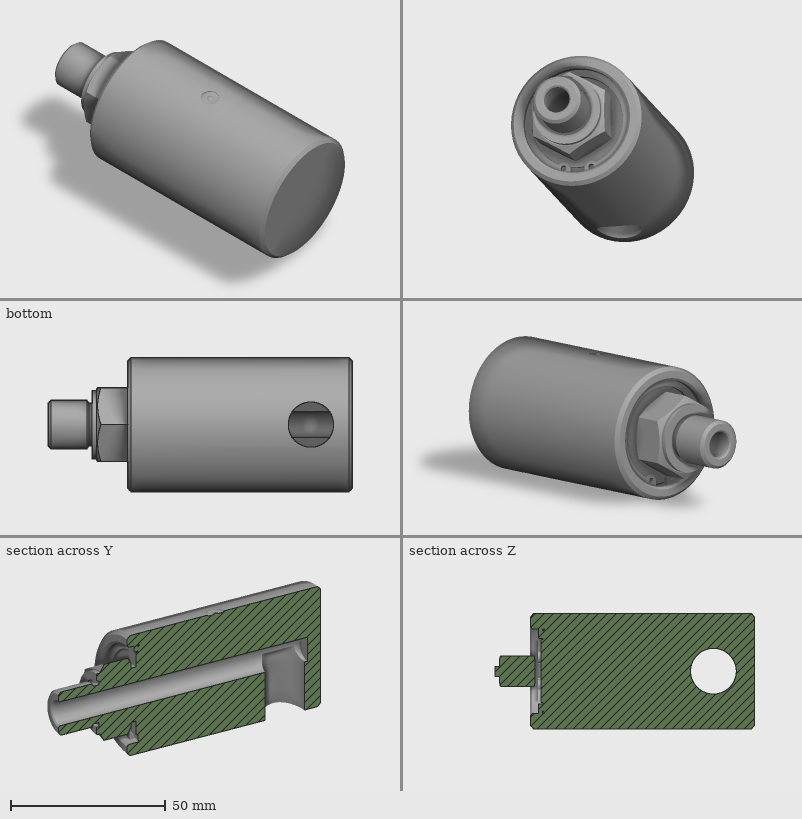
import cadquery as cq
import math

TOTAL_LENGTH = 98.79

HOUSING_DIAMETER = 43.7
HOUSING_START = 25.8
HOUSING_CHAMFER = 1.2

RECESS_DIAMETER = 35.08
RECESS_MOUTH_DIAMETER = 36.5
RECESS_DEPTH = 5.4
RECESS_FLOOR = HOUSING_START + RECESS_DEPTH

RING_INNER_DIAMETER = 30.5
RING_THICKNESS = 1.5
RING_SETBACK = 2.6
RING_FACE = HOUSING_START + RING_SETBACK
RING_GAP_WIDTH = 4.7
LUG_RADIUS = 2.0
LUG_HOLE_DIAMETER = 1.98
LUG_HOLE_Y = 4.62
LUG_HOLE_Z = -15.35

BEARING_FACE = RING_FACE + RING_THICKNESS
BEARING_CHAMFER = 0.6

SEAL_DIAMETER = 30.12
SEAL_SETBACK = 0.8
SEAL_FACE = RING_FACE + SEAL_SETBACK

THREAD_DIAMETER = 15.84
THREAD_LENGTH = 12.6
NECK_DIAMETER = 13.89
THREAD_CHAMFER = (THREAD_DIAMETER - NECK_DIAMETER) / 2
NECK_TAPER_LENGTH = 0.7

COLLAR_DIAMETER = 22.2
COLLAR_START = 14.3
COLLAR_GROOVE_DIAMETER = 16.5
COLLAR_GROOVE_DEPTH = 1.0

HEX_FLATS = 24.0
HEX_SIDES = 6
HEX_CORNERS = HEX_FLATS / math.cos(math.pi / HEX_SIDES)
HEX_START = 15.8
HEX_END = 27.5
HEX_FACE_DIAMETER = 23.0
HEX_CHAMFER_ANGLE = 30.0

SHAFT_NECK_DIAMETER = 19.84

BORE_DIAMETER = 8.5
BORE_CHAMFER = 0.5
PORT_DIAMETER = 14.69
PORT_X = 85.3
BORE_END_CLEARANCE = 1.0
BORE_END = PORT_X + PORT_DIAMETER / 2 + BORE_END_CLEARANCE

SPOT_X = 59.2
SPOT_DIAMETER = 6.0
SPOT_DEPTH = 0.4
SPOT_FLOOR = HOUSING_DIAMETER / 2 - SPOT_DEPTH
NUB_DIAMETER = 1.98


def rod(diameter, start, end):
    """Cylinder on the X axis between two stations."""
    return cq.Workplane("YZ", origin=(start, 0, 0)).circle(diameter / 2).extrude(end - start)


def turned(points):
    """Solid of revolution about the X axis from (x, radius) points."""
    return cq.Workplane("XY").polyline(points).close().revolve(360, (0, 0, 0), (1, 0, 0))


def make_housing():
    housing = rod(HOUSING_DIAMETER, HOUSING_START, TOTAL_LENGTH).edges().chamfer(HOUSING_CHAMFER)
    recess = rod(RECESS_DIAMETER, HOUSING_START, RECESS_FLOOR)
    mouth_chamfer = (RECESS_MOUTH_DIAMETER - RECESS_DIAMETER) / 2
    mouth = turned([
        (HOUSING_START, 0),
        (HOUSING_START, RECESS_MOUTH_DIAMETER / 2),
        (HOUSING_START + mouth_chamfer, RECESS_DIAMETER / 2),
        (HOUSING_START + mouth_chamfer, 0),
    ])
    return housing.cut(recess).cut(mouth)


def make_bearing():
    bearing = rod(RECESS_DIAMETER, BEARING_FACE, RECESS_FLOOR)
    return bearing.faces("<X").edges().chamfer(BEARING_CHAMFER)


def make_seal():
    return rod(SEAL_DIAMETER, SEAL_FACE, BEARING_FACE)


def make_shaft_neck():
    return rod(SHAFT_NECK_DIAMETER, HEX_END, SEAL_FACE)


def make_retaining_ring():
    ring_end = RING_FACE + RING_THICKNESS
    ring = rod(RECESS_DIAMETER, RING_FACE, ring_end).cut(rod(RING_INNER_DIAMETER, RING_FACE, ring_end))
    lug_centers = [(-LUG_HOLE_Y, LUG_HOLE_Z), (LUG_HOLE_Y, LUG_HOLE_Z)]
    plane = cq.Workplane("YZ", origin=(RING_FACE, 0, 0))
    lugs = plane.pushPoints(lug_centers).circle(LUG_RADIUS).extrude(RING_THICKNESS)
    holes = plane.pushPoints(lug_centers).circle(LUG_HOLE_DIAMETER / 2).extrude(RING_THICKNESS)
    gap_height = RECESS_DIAMETER / 2
    gap = plane.center(0, -gap_height / 2).rect(RING_GAP_WIDTH, gap_height).extrude(RING_THICKNESS)
    return ring.union(lugs).cut(gap).cut(holes)


def make_shaft_end():
    """Thread, tapered neck and collar; the neck continues to the floor of the collar groove."""
    thread = rod(THREAD_DIAMETER, 0, THREAD_LENGTH).faces("<X").edges().chamfer(THREAD_CHAMFER)
    groove_floor = COLLAR_START + COLLAR_GROOVE_DEPTH
    neck = turned([
        (THREAD_LENGTH, 0),
        (THREAD_LENGTH, THREAD_DIAMETER / 2),
        (THREAD_LENGTH + NECK_TAPER_LENGTH, NECK_DIAMETER / 2),
        (groove_floor, NECK_DIAMETER / 2),
        (groove_floor, 0),
    ])
    collar = rod(COLLAR_DIAMETER, COLLAR_START, HEX_START)
    collar = collar.cut(rod(COLLAR_GROOVE_DIAMETER, COLLAR_START, groove_floor))
    return thread.union(neck).union(collar)


def make_hexagon():
    """Hexagon with flats facing +Y and -Y, trimmed by a cone at each end."""
    length = HEX_END - HEX_START
    prism = (
        cq.Workplane("YZ", origin=(HEX_START, 0, 0))
        .transformed(rotate=(0, 0, 90))
        .polygon(HEX_SIDES, HEX_CORNERS)
        .extrude(length)
    )
    face_radius = HEX_FACE_DIAMETER / 2
    corner_radius = HEX_CORNERS / 2
    cone_length = (corner_radius - face_radius) * math.tan(math.radians(HEX_CHAMFER_ANGLE))
    envelope = turned([
        (HEX_START, 0),
        (HEX_START, face_radius),
        (HEX_START + cone_length, corner_radius),
        (HEX_END - cone_length, corner_radius),
        (HEX_END, face_radius),
        (HEX_END, 0),
    ])
    return prism.intersect(envelope)


def make_passage():
    """Blind axial bore ending just past the port, and the port from below up to the axis."""
    bore = rod(BORE_DIAMETER, 0, BORE_END)
    mouth = turned([
        (0, 0),
        (0, BORE_DIAMETER / 2 + BORE_CHAMFER),
        (BORE_CHAMFER, BORE_DIAMETER / 2),
        (BORE_CHAMFER, 0),
    ])
    port = (
        cq.Workplane("XY", origin=(PORT_X, 0, -HOUSING_DIAMETER / 2))
        .circle(PORT_DIAMETER / 2)
        .extrude(HOUSING_DIAMETER / 2)
    )
    return bore.union(mouth).union(port)


def make_spot_face():
    spot = cq.Workplane("XY", origin=(SPOT_X, 0, SPOT_FLOOR)).circle(SPOT_DIAMETER / 2)
    return spot.extrude(SPOT_DEPTH)


def make_nub():
    """Spherical cap on the spot face, level with the top of the housing."""
    base_radius = NUB_DIAMETER / 2
    sphere_radius = (base_radius**2 + SPOT_DEPTH**2) / (2 * SPOT_DEPTH)
    sphere = cq.Workplane("XY").sphere(sphere_radius)
    sphere = sphere.translate((SPOT_X, 0, SPOT_FLOOR + SPOT_DEPTH - sphere_radius))
    stem = cq.Workplane("XY", origin=(SPOT_X, 0, SPOT_FLOOR)).circle(base_radius).extrude(SPOT_DEPTH)
    return sphere.intersect(stem)


body = make_housing().union(make_bearing()).union(make_seal()).union(make_retaining_ring())
body = body.union(make_shaft_neck()).union(make_hexagon()).union(make_shaft_end())
result = body.cut(make_passage()).cut(make_spot_face()).union(make_nub())